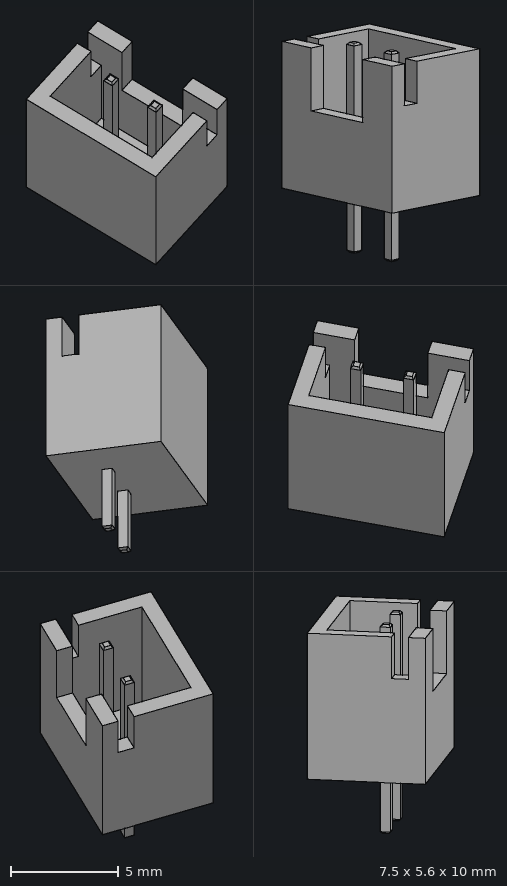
import cadquery as cq

length = 7.5
width = 5.6
height = 7
wall = 0.8
floor = wall

side_slot_width = 0.8
slot_depth = 2
rear_notch_length = 3.5
rear_notch_depth = 3

pin_pitch = 2.54
pin_size = 0.5
pin_tip_chamfer = 0.1
pin_y = 0.5
pin_bottom = -3
pin_top = height

rear_wall_y = width / 2 - wall


def block(x_size, y_size, bottom, top, x=0, y=0):
    """Upright block centred on (x, y) between two heights."""
    base = cq.Workplane("XY", origin=(x, y, bottom))
    return base.rect(x_size, y_size).extrude(top - bottom)


def make_housing():
    cavity = block(length - 2 * wall, width - 2 * wall, floor, height)
    side_slots = block(
        length, side_slot_width, height - slot_depth, height, y=rear_wall_y - side_slot_width / 2
    )
    rear_notch = block(
        rear_notch_length, wall, height - rear_notch_depth, height, y=rear_wall_y + wall / 2
    )
    housing = block(length, width, 0, height)
    return housing.cut(cavity).cut(side_slots).cut(rear_notch)


def make_pin(x):
    pin = block(pin_size, pin_size, pin_bottom, pin_top, x, pin_y)
    return pin.faces("<Z or >Z").chamfer(pin_tip_chamfer)


result = make_housing()
for side in (-1, 1):
    result = result.union(make_pin(side * pin_pitch / 2))